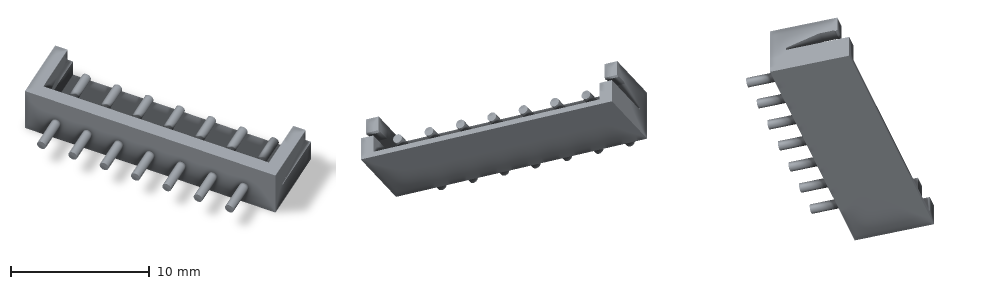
import cadquery as cq

length = 20.0
depth = 6.0
height = 3.8
wall = 1.0
floor_thickness = 0.4

arm_setback = 0.9
arm_end = depth - arm_setback
slot_start = 1.2
slot_floor = 1.75
slot_start_top = 1.95
slot_roof = 2.65
ramp_end = 3.72
lip_drop = 0.12
lip_width = 0.25

pin_count = 7
pin_pitch = 2.5
pin_diameter = 0.7
pin_height = 1.6
pin_projection = 2.5
pin_length = pin_projection + arm_end


def make_housing():
    """Block hollowed from above, leaving the floor, back wall and side walls."""
    block = cq.Workplane("XY").box(length, depth, height, centered=(True, False, False))
    cavity = (
        cq.Workplane("XY")
        .box(length - 2 * wall, depth - wall, height - floor_thickness, centered=(True, False, False))
        .translate((0, wall, floor_thickness))
    )
    return block.cut(cavity)


def make_latch_slots():
    """Tapered slot and arm setback, running through both side walls."""
    return (
        cq.Workplane("YZ")
        .moveTo(slot_start, slot_floor)
        .lineTo(slot_start, slot_start_top)
        .lineTo(ramp_end, slot_roof)
        .lineTo(arm_end - lip_width, slot_roof)
        .lineTo(arm_end - lip_width / 2, slot_roof - lip_drop)
        .lineTo(arm_end, slot_roof)
        .lineTo(arm_end, height)
        .lineTo(depth, height)
        .lineTo(depth, slot_floor)
        .close()
        .extrude(length / 2, both=True)
    )


def make_pins():
    """Row of round pins through the back wall."""
    return (
        cq.Workplane("XZ", origin=(0, -pin_projection, pin_height))
        .rarray(pin_pitch, 0.2, pin_count, 1)
        .circle(pin_diameter / 2)
        .extrude(-pin_length)
    )


result = make_housing().cut(make_latch_slots()).union(make_pins())